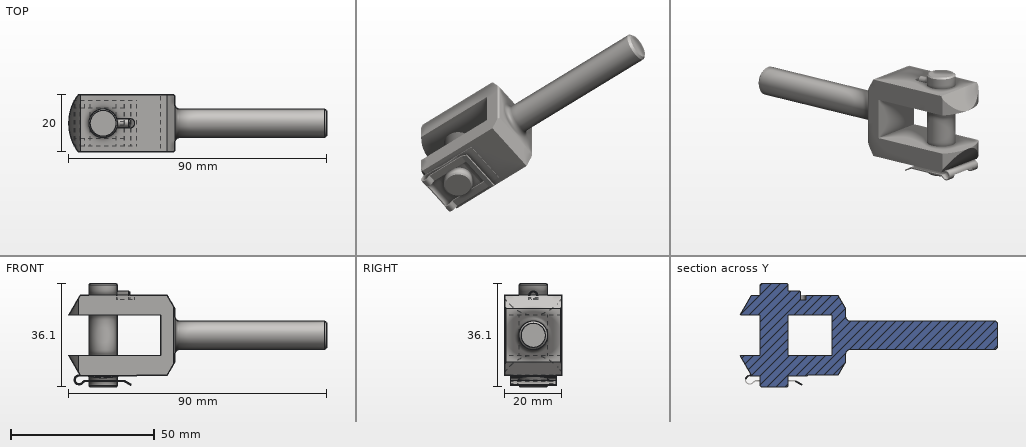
import cadquery as cq
import math


tip_to_pin = 12.0
fork_length = 37.0
fork_width = 20.0
fork_height = 28.0
slot_height = 14.0
slot_depth = 32.0
tip_radius = 16.5
bevel_angle = math.radians(30)
rear_bevel_length = 2.7
rear_edge_chamfer = 0.5

total_length = 90.0
shank_diameter = 10.0
shank_fillet = 1.6
shank_chamfer = 0.8

pin_diameter = 10.0
pin_length = 36.12
pin_chamfer = 0.5
peg_diameter = 3.1
peg_reach = 9.3
peg_chamfer = 0.4
peg_drop = 0.1
peg_slot_end = 11.0
peg_slot_width = 3.3
peg_slot_depth = peg_diameter / 2

clip_width = 16.0
clip_thickness = 0.4
clip_window_width = 10.6
clip_upper_end = 11.7
clip_loop_x = -8.4
clip_loop_radius = 1.52
clip_embed = 0.17
clip_bow_half_span = 5.4
clip_bow_depth = 0.6
clip_loop_exit_angle = math.radians(41)
clip_lower_start = -6.5
clip_lower_end = 7.35
clip_tip_end = 9.7
clip_tip_angle = math.radians(30)

fork_tip = -tip_to_pin
fork_back = fork_tip + fork_length
shank_end = fork_tip + total_length
fork_top = fork_height / 2
fork_bottom = -fork_top
slot_top = slot_height / 2


def make_fork():
    """Forked block with bevelled ends, rounded in plan at the open end."""
    tip_bevel_length = (fork_top - slot_top) * math.tan(bevel_angle)
    rear_bevel_height = rear_bevel_length / math.tan(bevel_angle)
    upper_half = [
        (fork_tip, slot_top),
        (fork_tip + tip_bevel_length, fork_top),
        (fork_back - rear_bevel_length, fork_top),
        (fork_back, fork_top - rear_bevel_height),
    ]
    lower_half = [(x, -z) for x, z in reversed(upper_half)]
    slot_floor = fork_tip + slot_depth
    slot = [(slot_floor, -slot_top), (slot_floor, slot_top)]
    block = (
        cq.Workplane("XZ")
        .polyline(upper_half + lower_half + slot)
        .close()
        .extrude(fork_width / 2, both=True)
    )
    block = block.faces(">X").edges("|Z").chamfer(rear_edge_chamfer)

    half_width = fork_width / 2
    arc_side_x = fork_tip + tip_radius - math.sqrt(tip_radius**2 - half_width**2)
    plan = (
        cq.Workplane("XY", origin=(0, 0, fork_bottom))
        .moveTo(arc_side_x, -half_width)
        .threePointArc((fork_tip, 0), (arc_side_x, half_width))
        .lineTo(fork_back, half_width)
        .lineTo(fork_back, -half_width)
        .close()
        .extrude(fork_height)
    )
    return block.intersect(plan)


def make_shank():
    """Round shank with a chamfered end and a fillet flare at the fork."""
    radius = shank_diameter / 2
    flare_mid = shank_fillet * (1 - math.sqrt(0.5))
    profile = (
        cq.Workplane("XZ")
        .moveTo(fork_back, 0)
        .lineTo(fork_back, radius + shank_fillet)
        .threePointArc(
            (fork_back + flare_mid, radius + flare_mid),
            (fork_back + shank_fillet, radius),
        )
        .lineTo(shank_end - shank_chamfer, radius)
        .lineTo(shank_end, radius - shank_chamfer)
        .lineTo(shank_end, 0)
        .close()
    )
    return profile.revolve(360, (0, 0, 0), (1, 0, 0))


def make_pin():
    """Clevis pin, chamfered at both ends."""
    return (
        cq.Workplane("XY", origin=(0, 0, -pin_length / 2))
        .circle(pin_diameter / 2)
        .extrude(pin_length)
        .edges()
        .chamfer(pin_chamfer)
    )


def make_peg():
    """Cross peg lying about half sunk in the top face of the fork."""
    return (
        cq.Workplane("YZ", origin=(0, 0, fork_top - peg_drop))
        .circle(peg_diameter / 2)
        .extrude(peg_reach)
        .faces(">X")
        .chamfer(peg_chamfer)
    )


def make_peg_slot():
    """Round-ended, flat-bottomed groove that seats the lower half of the peg."""
    return (
        cq.Workplane("XY", origin=(peg_slot_end / 2, 0, fork_top))
        .slot2D(peg_slot_end, peg_slot_width)
        .extrude(-peg_slot_depth)
    )


def make_clip():
    """Sheet clip: upper leaf bowed under the fork, rolled loop and windowed lower leaf."""
    upper_z = fork_bottom + clip_embed - clip_thickness / 2
    loop_z = upper_z - clip_loop_radius
    exit_x = clip_loop_x + clip_loop_radius * math.sin(clip_loop_exit_angle)
    exit_z = loop_z - clip_loop_radius * math.cos(clip_loop_exit_angle)
    lower_z = exit_z + (clip_lower_start - exit_x) * math.tan(clip_loop_exit_angle)
    tip_z = lower_z - (clip_tip_end - clip_lower_end) * math.tan(clip_tip_angle)
    path = (
        cq.Workplane("XZ")
        .moveTo(clip_upper_end, upper_z)
        .lineTo(clip_bow_half_span, upper_z)
        .threePointArc((0, upper_z - clip_bow_depth), (-clip_bow_half_span, upper_z))
        .lineTo(clip_loop_x, upper_z)
        .threePointArc((clip_loop_x - clip_loop_radius, loop_z), (exit_x, exit_z))
        .lineTo(clip_lower_start, lower_z)
        .lineTo(clip_lower_end, lower_z)
        .lineTo(clip_tip_end, tip_z)
    )
    strip = (
        cq.Workplane("YZ", origin=(clip_upper_end, 0, upper_z))
        .rect(clip_width, clip_thickness)
        .sweep(path, transition="right")
    )
    window = cq.Workplane("XY", origin=(fork_tip, 0, loop_z - pin_length)).box(
        clip_lower_end - fork_tip,
        clip_window_width,
        pin_length,
        centered=(False, True, False),
    )
    return strip.cut(window)


result = (
    make_fork()
    .union(make_shank())
    .cut(make_peg_slot())
    .union(make_pin())
    .union(make_peg())
    .union(make_clip())
)